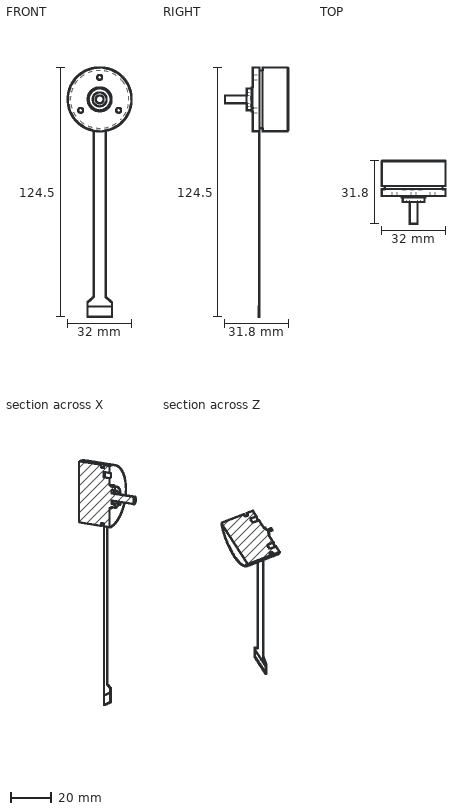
import cadquery as cq
import math

body_diameter = 32.0
groove_diameter = 29.0
rim_diameter = 12.0
boss_diameter = 11.0
boss_bore_diameter = 7.0
shaft_diameter = 4.0

rotor_length = 13.0
groove_width = 1.5
flange_length = 3.5
rim_length = 0.6
boss_length = 2.4
shaft_length = 10.8
boss_bore_depth = 2.0
rotor_chamfer = 0.6

screw_hole_diameter = 2.5
screw_circle_radius = 11.0
screw_hole_depth = flange_length
screw_hole_count = 3

overall_height = 124.5
cable_bottom = body_diameter / 2 - overall_height
cable_width = 6.1
plug_width = 12.3
cable_thickness = 0.4
stiffener_thickness = 0.06
stiffener_height = 5.1
shoulder_height = 7.2
neck_height = 10.0

flange_back = flange_length
groove_back = flange_back + groove_width
rotor_back = groove_back + rotor_length
boss_front = -(rim_length + boss_length)
shaft_front = boss_front - shaft_length


def cylinder(diameter, front, back):
    """Solid cylinder on the shaft axis between two Y positions."""
    plane = cq.Workplane("XZ", origin=(0, back, 0))
    return plane.circle(diameter / 2).extrude(back - front)


def make_motor():
    rotor = cylinder(body_diameter, groove_back, rotor_back)
    rotor = rotor.faces(">Y").chamfer(rotor_chamfer)
    core = cylinder(groove_diameter, 0, rotor_back - rotor_chamfer)
    flange = cylinder(body_diameter, 0, flange_back)
    rim = cylinder(rim_diameter, -rim_length, flange_back)
    boss = cylinder(boss_diameter, boss_front, flange_back)
    return rotor.union(core).union(flange).union(rim).union(boss)


def cut_screw_holes(motor):
    for index in range(screw_hole_count):
        angle = math.radians(90 + index * 360 / screw_hole_count)
        x = screw_circle_radius * math.cos(angle)
        z = screw_circle_radius * math.sin(angle)
        hole = cylinder(screw_hole_diameter, 0, screw_hole_depth)
        motor = motor.cut(hole.translate((x, 0, z)))
    return motor


def add_shaft(motor):
    bore = cylinder(boss_bore_diameter, boss_front, boss_front + boss_bore_depth)
    shaft = cylinder(shaft_diameter, shaft_front, flange_back)
    return motor.cut(bore).union(shaft)


def make_cable():
    """Ribbon inside the rear of the flange, with a thin stiffener in front of its plug end."""
    cable_top = -groove_diameter / 2
    half_cable = cable_width / 2
    half_plug = plug_width / 2
    neck = cable_bottom + neck_height
    shoulder = cable_bottom + shoulder_height
    ribbon = (
        cq.Workplane("XZ", origin=(0, flange_back, 0))
        .moveTo(-half_cable, cable_top)
        .lineTo(half_cable, cable_top)
        .lineTo(half_cable, neck)
        .lineTo(half_plug, shoulder)
        .lineTo(half_plug, cable_bottom)
        .lineTo(-half_plug, cable_bottom)
        .lineTo(-half_plug, shoulder)
        .lineTo(-half_cable, neck)
        .close()
        .extrude(cable_thickness)
    )
    stiffener = cq.Workplane("XY").box(
        plug_width, stiffener_thickness, stiffener_height, centered=(True, False, False)
    )
    stiffener_front = flange_back - cable_thickness - stiffener_thickness
    return ribbon.union(stiffener.translate((0, stiffener_front, cable_bottom)))


motor = add_shaft(cut_screw_holes(make_motor()))
result = motor.union(make_cable())